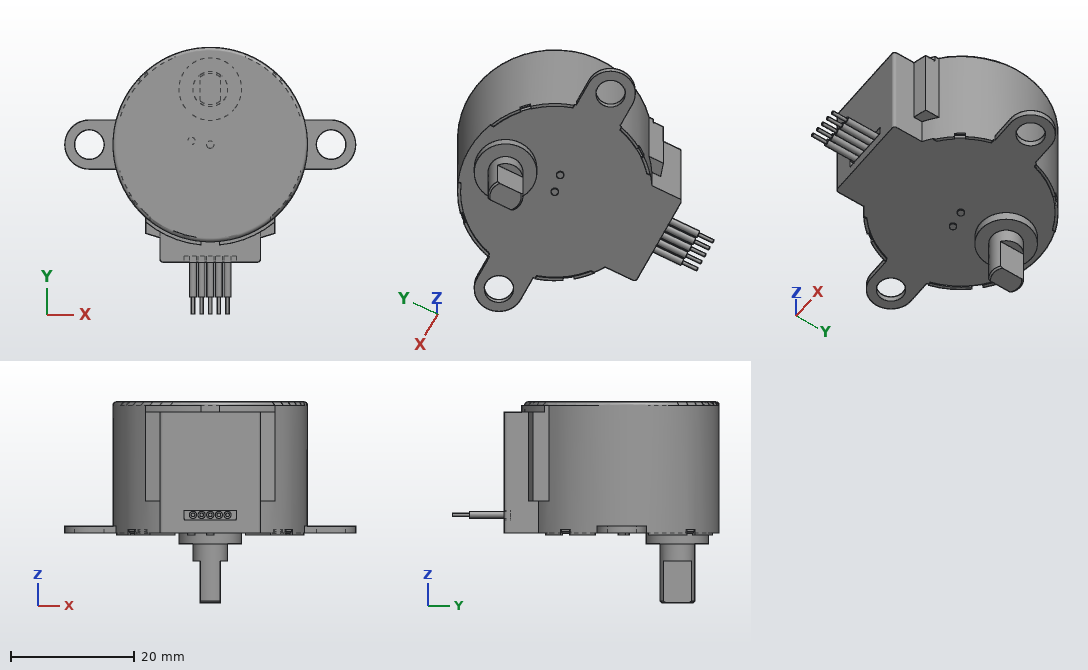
import cadquery as cq


can_radius = 15.77
can_height = 21.3
can_top_fillet = 0.57

rim_drop = 0.3
rim_wall = 0.5
rim_gap_ear = 8.6
rim_gap_block = 19.6
rim_gap_boss = 11.4
crimp_notch_length = 1.8
crimp_notch_top_z = 0.57
crimp_notch_step_z = 0.28
crimp_notch_top_depth = 0.25
crimp_notch_bottom_depth = 0.7
crimp_notch_angles = (-35.7, 45.3)

rivet_diameter = 1.2
rivet_centres = [(-3.05, 0.6), (0, 0)]

ear_span = 47.18
ear_width = 8.0
ear_thickness = 1.15
ear_hole_diameter = 4.75

shaft_offset = 9.0
boss_diameter = 10.15
boss_drop = 1.75
shaft_diameter = 5.66
shaft_end_z = -11.28
shaft_flat_width = 3.32
shaft_flat_length = 6.75
shaft_end_chamfer = 0.3

block_width = 16.35
block_front_y = -19.07
block_top_z = can_height - 1.68
block_corner_fillet = 0.55
wing_width = 20.95
wing_outer_y = -14.4
wing_inner_y = -15.1
wing_bottom_z = can_height - 16.05

lip_radius = 16.33
lip_gap = 3.0
lip_top_z = can_height - can_top_fillet

wire_count = 5
wire_pitch = 1.4
wire_z = can_height - 18.34
insulation_diameter = 1.16
insulation_end_y = -24.73
core_diameter = 0.6
overall_length_y = 43.26
core_end_y = can_radius - overall_length_y
slot_width = 8.45
slot_height = 1.6
slot_z = wire_z - 0.06
slot_depth = 1.0
slot_corner_fillet = 0.25


def box(x_size, y_min, y_max, z_min, z_max):
    """Box centred on X = 0 between the given Y and Z limits."""
    y_size = y_max - y_min
    return (
        cq.Workplane("XY", origin=(0, (y_min + y_max) / 2, z_min))
        .rect(x_size, y_size)
        .extrude(z_max - z_min)
    )


def cylinder(diameter, z_min, z_max, y=0):
    """Vertical cylinder between two heights."""
    return cq.Workplane("XY", origin=(0, y, z_min)).circle(diameter / 2).extrude(z_max - z_min)


def make_can():
    can = cylinder(2 * can_radius, 0, can_height)
    return can.faces(">Z").edges().fillet(can_top_fillet)


def make_rim():
    """Thin rim under the can, interrupted at the ears, the block and the boss."""
    rim = cq.Workplane("XY").circle(can_radius).circle(can_radius - rim_wall).extrude(-rim_drop)
    rim = rim.cut(cq.Workplane("XY").rect(2 * can_radius, rim_gap_ear).extrude(-rim_drop))
    rim = rim.cut(box(rim_gap_block, -can_radius, 0, -rim_drop, 0))
    return rim.cut(box(rim_gap_boss, 0, can_radius, -rim_drop, 0))


def make_crimp_notches():
    """Notches in the lower edge of the can wall, mirrored in X, each with an inward sloping lower part."""
    outside = can_radius + rim_wall
    notch = (
        cq.Workplane("XZ", origin=(0, crimp_notch_length / 2, 0))
        .moveTo(outside, -rim_drop)
        .lineTo(outside, crimp_notch_top_z)
        .lineTo(can_radius - crimp_notch_top_depth, crimp_notch_top_z)
        .lineTo(can_radius - crimp_notch_top_depth, crimp_notch_step_z)
        .lineTo(can_radius - crimp_notch_bottom_depth, -rim_drop)
        .close()
        .extrude(crimp_notch_length)
    )
    notches = cq.Workplane("XY")
    for angle in crimp_notch_angles:
        for turn in (angle, 180 - angle):
            notches = notches.union(notch.rotate((0, 0, 0), (0, 0, 1), turn))
    return notches


def make_ears():
    """One rounded bar across the can with a mounting hole at each end."""
    hole_spacing = ear_span - ear_width
    return (
        cq.Workplane("XY")
        .slot2D(ear_span, ear_width)
        .extrude(ear_thickness)
        .faces("<Z")
        .workplane()
        .pushPoints([(-hole_spacing / 2, 0), (hole_spacing / 2, 0)])
        .hole(ear_hole_diameter)
    )


def make_rivets():
    return cq.Workplane("XY").pushPoints(rivet_centres).circle(rivet_diameter / 2).extrude(-rim_drop)


def make_output_shaft():
    boss = cylinder(boss_diameter, -boss_drop, 0, y=shaft_offset)
    shaft = cylinder(shaft_diameter, shaft_end_z, 0, y=shaft_offset)
    shaft = shaft.faces("<Z").chamfer(shaft_end_chamfer)
    radius = shaft_diameter / 2
    y_min = shaft_offset - radius
    y_max = shaft_offset + radius
    flat_top_z = shaft_end_z + shaft_flat_length
    flats = box(shaft_diameter, y_min, y_max, shaft_end_z, flat_top_z)
    flats = flats.cut(box(shaft_flat_width, y_min, y_max, shaft_end_z, flat_top_z))
    return boss.union(shaft.cut(flats))


def make_block():
    """Wire outlet block with a shorter, wider wing part against the can."""
    block = box(block_width, block_front_y, 0, 0, block_top_z)
    block = block.faces("<Y").edges("|Z").fillet(block_corner_fillet)
    wings = (
        cq.Workplane("XY", origin=(0, 0, wing_bottom_z))
        .moveTo(-wing_width / 2, 0)
        .lineTo(-wing_width / 2, wing_outer_y)
        .lineTo(-block_width / 2, wing_inner_y)
        .lineTo(block_width / 2, wing_inner_y)
        .lineTo(wing_width / 2, wing_outer_y)
        .lineTo(wing_width / 2, 0)
        .close()
        .extrude(block_top_z - wing_bottom_z)
    )
    return block.union(wings)


def make_lip():
    """Curved lip on top of the block, split by a gap in the middle."""
    lip = cylinder(2 * lip_radius, block_top_z, lip_top_z)
    lip = lip.intersect(box(wing_width, -lip_radius, 0, block_top_z, lip_top_z))
    return lip.cut(box(lip_gap, -lip_radius, 0, block_top_z, lip_top_z))


def make_wire_slot():
    floor_y = block_front_y + slot_depth
    half_height = slot_height / 2
    slot = box(slot_width, block_front_y, floor_y, slot_z - half_height, slot_z + half_height)
    return slot.faces("<Z").edges("|Y").fillet(slot_corner_fillet)


def make_wires():
    """Row of insulated wires with bare ends, starting at the slot floor."""
    root_y = block_front_y + slot_depth
    first_x = -wire_pitch * (wire_count - 1) / 2
    centres = [(first_x + i * wire_pitch, wire_z) for i in range(wire_count)]
    root = cq.Workplane("XZ", origin=(0, root_y, 0)).pushPoints(centres)
    insulation = root.circle(insulation_diameter / 2).extrude(root_y - insulation_end_y)
    tip = cq.Workplane("XZ", origin=(0, insulation_end_y, 0)).pushPoints(centres)
    core = tip.circle(core_diameter / 2).extrude(insulation_end_y - core_end_y)
    return insulation.union(core)


body = make_can().union(make_rim()).cut(make_crimp_notches())
body = body.union(make_ears()).union(make_rivets()).union(make_output_shaft())
body = body.union(make_block()).union(make_lip())
body = body.cut(make_wire_slot())
result = body.union(make_wires())